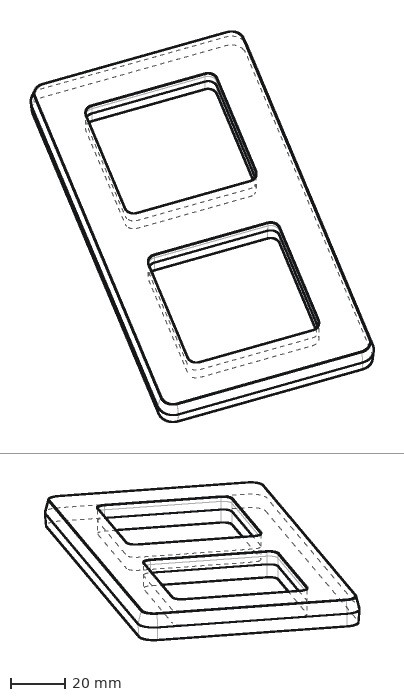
import cadquery as cq
import math

LENGTH = 155.0
WIDTH = 84.0
HEIGHT = 10.0
CORNER_RADIUS = 6.0
JOINT_Z = HEIGHT / 2

BASE_INSET = 0.39
COVER_INSET = 1.32
EDGE_CHAMFER = 0.2

WINDOW_SIZE = 51.0
WINDOW_PITCH = 71.0
WINDOW_CORNER_RADIUS = 3.4
WINDOW_CENTERS_X = (-WINDOW_PITCH / 2, WINDOW_PITCH / 2)

THROAT_Z = 8.2
THROAT_INSET = 0.08
MOUTH_FLARE = 0.05
MOUTH_Z = HEIGHT - EDGE_CHAMFER


def tapered_block(length, width, radius, start_z, end_z, inset):
    """Rounded block from start_z up or down to end_z, its walls moving inward by the inset."""
    height = abs(end_z - start_z)
    taper = math.degrees(math.atan2(inset, height))
    outline = cq.Sketch().rect(length, width).vertices().fillet(radius)
    block = cq.Workplane("XY").placeSketch(outline).extrude(height, taper=taper)
    if end_z < start_z:
        block = block.mirror("XY")
    return block.translate((0, 0, start_z))


def cut_windows(frame, offset, start_z, end_z, inset):
    """Cut one height range of both windows; offset is how far it starts inside the nominal window."""
    size = WINDOW_SIZE - 2 * offset
    radius = WINDOW_CORNER_RADIUS - offset
    opening = tapered_block(size, size, radius, start_z, end_z, inset)
    for x in WINDOW_CENTERS_X:
        frame = frame.cut(opening.translate((x, 0, 0)))
    return frame


def make_base():
    """Lower frame, its outer walls leaning inward toward the bottom, with upright windows."""
    frame = tapered_block(LENGTH, WIDTH, CORNER_RADIUS, JOINT_Z, 0, BASE_INSET)
    return cut_windows(frame, 0, 0, JOINT_Z, 0)


def make_cover():
    """Upper frame, its outer walls leaning inward toward the top, with narrowed windows."""
    frame = tapered_block(LENGTH, WIDTH, CORNER_RADIUS, JOINT_Z, HEIGHT, COVER_INSET)
    frame = frame.faces(">Z").edges().chamfer(EDGE_CHAMFER)
    frame = cut_windows(frame, 0, JOINT_Z, THROAT_Z, THROAT_INSET)
    frame = cut_windows(frame, THROAT_INSET, THROAT_Z, MOUTH_Z, -MOUTH_FLARE)
    return cut_windows(frame, THROAT_INSET - MOUTH_FLARE, MOUTH_Z, HEIGHT, -EDGE_CHAMFER)


base = make_base().solids()
cover = make_cover().solids()
result = cq.Compound.makeCompound([base.val(), cover.val()])